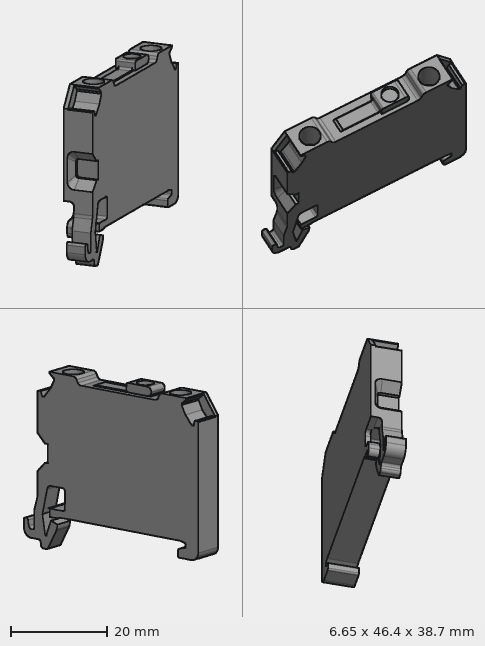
import cadquery as cq
import math


thickness = 6.65
body_length = 42.8
body_top = 38.05
rail_seat = 7.3
foot_bottom = 3.6
foot_toe_y = 37.4
foot_slot_y = 39.35
slant_run = 3.15
slant_drop = 4.45
mid_y = body_length / 2
shoulder_z = body_top - slant_drop

saddle_z = 36.4
saddle_half = 10.4
saddle_angle = 62.0
saddle_radius = 0.97
saddle_run = (body_top - saddle_z) / math.tan(math.radians(saddle_angle))

window_y = 5.1
window_top = 13.7
window_radius = 0.97
hook_y = 1.7
hook_back = 3.05
hook_tip = 5.2
hook_seat = 7.0
hook_width = 2.35

cavity_x = 1.15
cavity_back = 7.3
cavity_front = 3.25
cavity_floor = 8.8
cavity_top = 13.7
cavity_radius = 0.55

clip_reach = 3.6
clip_root_overlap = 0.7
clip_face_y = -0.9
clip_root_back = 3.95
tab_bottom = 1.75
tab_top = 5.9

notch_x = 1.0
lip_z = 33.55
notch_bottom = 32.45

hole_x = 3.6
hole_offset = 14.25
hole_diameter = 4.45
hole_depth = 7.45

grip_x = 0.9
grip_bottom = 16.35
grip_top = 24.55
grip_taper_depth = 2.0
grip_depth = 2.75
grip_side_draft = 1.0
grip_end_draft = 2.05
grip_outer_radius = 1.5
grip_floor_radius = 0.65

knob_x = 1.3
knob_width = 4.55
knob_front = 23.05
knob_back = 29.65
knob_bottom = 36.65
knob_top = 38.65
knob_edge_radius = 0.35
knob_end_radius = 0.97
dimple_y = 26.3
dimple_diameter = 3.65
dimple_depth = 0.95
bar_x = 2.0
bar_width = 3.1
bar_front = 13.65
bar_ramp = 0.6
bar_fillet = 0.5
plinth_x = 1.45
plinth_width = 3.65
plinth_back = 28.87


def rounded_outline(workplane, corners):
    """Close an outline through (u, v, radius) corners; radius 0 leaves a sharp corner."""
    count = len(corners)
    for i, (u, v, radius) in enumerate(corners):
        here = cq.Vector(u, v)
        entry = leave = middle = here
        if radius > 0:
            back = (cq.Vector(*corners[i - 1][:2]) - here).normalized()
            ahead = (cq.Vector(*corners[(i + 1) % count][:2]) - here).normalized()
            half_angle = back.getAngle(ahead) / 2
            setback = radius / math.tan(half_angle)
            entry = here + back * setback
            leave = here + ahead * setback
            to_arc = radius / math.sin(half_angle) - radius
            middle = here + (back + ahead).normalized() * to_arc
        if i == 0:
            workplane = workplane.moveTo(entry.x, entry.y)
        else:
            workplane = workplane.lineTo(entry.x, entry.y)
        if radius > 0:
            workplane = workplane.threePointArc((middle.x, middle.y), (leave.x, leave.y))
    return workplane.close()


def side_prism(corners, x_start, x_end):
    """Extrude a Y-Z outline along X."""
    plane = cq.Workplane("YZ", origin=(x_start, 0, 0))
    return rounded_outline(plane, corners).extrude(x_end - x_start)


def box(x_range, y_range, z_range):
    """Box given by its limits on each axis."""
    sizes = [high - low for low, high in (x_range, y_range, z_range)]
    corner = (x_range[0], y_range[0], z_range[0])
    return cq.Workplane("XY").box(*sizes, centered=False).translate(corner)


def make_housing():
    corners = [
        (0, window_top, 0),
        (0, shoulder_z, 0),
        (slant_run, body_top, 0),
        (mid_y - saddle_half - saddle_run, body_top, saddle_radius),
        (mid_y - saddle_half, saddle_z, saddle_radius),
        (mid_y + saddle_half, saddle_z, saddle_radius),
        (mid_y + saddle_half + saddle_run, body_top, saddle_radius),
        (body_length - slant_run, body_top, 0),
        (body_length, shoulder_z, 0),
        (body_length, foot_bottom, 1.85),
        (foot_toe_y, foot_bottom, 0.35),
        (foot_toe_y, 5.5, 0.35),
        (foot_slot_y, 6.0, 0.3),
        (foot_slot_y, 6.95, 0.3),
        (38.15, rail_seat, 0),
        (6.15, rail_seat, 0),
        (5.3, hook_seat, 0),
        (hook_back, hook_seat, 0.3),
        (hook_back, hook_tip, 0),
        (hook_y, hook_tip, 1.2),
        (hook_y, 8.7, 1.3),
        (window_y, 9.1, 1.5),
        (window_y, window_top, window_radius),
    ]
    return side_prism(corners, 0, thickness)


def make_cavity():
    """Hollow behind the window; past the hook it also frees the clip down to the rail."""
    corners = [
        (cavity_front, cavity_floor, 0),
        (cavity_back, cavity_floor, cavity_radius),
        (cavity_back, cavity_top, cavity_radius),
        (cavity_front, cavity_top, 0),
    ]
    hollow = side_prism(corners, cavity_x, thickness)
    clip_room = box((hook_width, thickness), (0, cavity_front), (0, cavity_floor))
    return hollow.union(clip_room)


def make_clip():
    root_top = window_top + clip_root_overlap
    corners = [
        (0, root_top, 0),
        (0, 10.9, 2.8),
        (clip_face_y, 7.8, 0),
        (clip_face_y, 3.6, 0.55),
        (-2.2, 3.6, 0.85),
        (-2.55, tab_top, 0.45),
        (-clip_reach, tab_top, 0.45),
        (-clip_reach, tab_bottom, 2.05),
        (0.8, tab_bottom, 0.6),
        (1.0, 0, 0.7),
        (2.7, 0, 0.45),
        (5.15, 4.6, 0.95),
        (5.35, 5.7, 0),
        (3.6, 6.25, 0),
        (2.3, 2.9, 0),
        (2.1, 2.9, 0),
        (1.35, 7.35, 0),
        (2.8, window_top, window_radius),
        (clip_root_back, window_top, 0),
        (clip_root_back, root_top, 0),
    ]
    clip = side_prism(corners, hook_width, thickness)
    fillet_x = hook_width - window_radius
    fillet_z = window_top - window_radius
    fillet = box((fillet_x, hook_width), (0, window_y), (fillet_z, window_top))
    fillet = fillet.cut(
        cq.Workplane("XZ", origin=(fillet_x, 0, fillet_z)).circle(window_radius).extrude(-window_y)
    )
    return clip.union(fillet.intersect(side_prism(corners, fillet_x, hook_width)))


def make_end_notches():
    """Snap-in label seats cut into both sloped shoulders."""
    corners = [
        (0, body_top, 0),
        (0, 33.4, 0),
        (0.3, lip_z, 0),
        (0.95, lip_z, 0),
        (1.3, notch_bottom, 0),
        (1.62, notch_bottom, 0),
        (2.0, 32.8, 0),
        (3.45, 34.5, 0),
        (4.4, 36.4, 0),
        (4.3, 36.8, 0),
        (slant_run, 37.8, 0),
        (slant_run, body_top, 0),
    ]
    front = side_prism(corners, notch_x, thickness)
    rear = front.mirror("XZ", (0, mid_y, 0))
    return front.union(rear)


def make_screw_holes():
    top = cq.Workplane("XY", origin=(hole_x, mid_y, body_top))
    holes = top.pushPoints([(0, -hole_offset), (0, hole_offset)]).circle(hole_diameter / 2)
    return holes.extrude(-hole_depth)


def make_grip_recess():
    """Pocket in the front face with a flared mouth, open on the +X side."""
    def pocket_outline(depth, inset_x, inset_z, radius):
        corners = [
            (grip_x + inset_x, grip_bottom + inset_z, radius),
            (thickness, grip_bottom + inset_z, 0),
            (thickness, grip_top - inset_z, 0),
            (grip_x + inset_x, grip_top - inset_z, radius),
        ]
        return rounded_outline(cq.Workplane("XZ", origin=(0, depth, 0)), corners)

    mouth = pocket_outline(0, 0, 0, grip_outer_radius)
    floor = pocket_outline(grip_taper_depth, grip_side_draft, grip_end_draft, grip_floor_radius)
    flare = cq.Workplane(cq.Solid.makeLoft([mouth.val(), floor.val()], True))
    return flare.union(floor.extrude(grip_taper_depth - grip_depth))


def make_knob():
    corners = [
        (knob_front, knob_bottom, 0),
        (knob_front, knob_top, knob_edge_radius),
        (knob_back, knob_top, knob_end_radius),
        (knob_back, knob_bottom, knob_end_radius),
    ]
    knob = side_prism(corners, knob_x, knob_x + knob_width)
    dimple = cq.Workplane("XY", origin=(knob_x + knob_width / 2, dimple_y, knob_top))
    return knob.cut(dimple.circle(dimple_diameter / 2).extrude(-dimple_depth))


def make_bar():
    """Low bar in front of the knob, with the plinth under the knob."""
    inside_y = knob_front + bar_fillet
    inside_z = knob_bottom + 2 * bar_fillet
    corners = [
        (bar_front, saddle_z, 0),
        (bar_front + bar_ramp, knob_bottom, 0),
        (knob_front, knob_bottom, bar_fillet),
        (knob_front, inside_z, 0),
        (inside_y, inside_z, 0),
        (inside_y, saddle_z, 0),
    ]
    bar = side_prism(corners, bar_x, bar_x + bar_width)
    plinth = box(
        (plinth_x, plinth_x + plinth_width),
        (knob_front, plinth_back),
        (saddle_z, knob_bottom),
    )
    return bar.union(plinth)


housing = make_housing().cut(make_cavity())
housing = housing.cut(make_end_notches()).cut(make_screw_holes()).cut(make_grip_recess())
result = housing.union(make_clip()).union(make_bar()).union(make_knob())